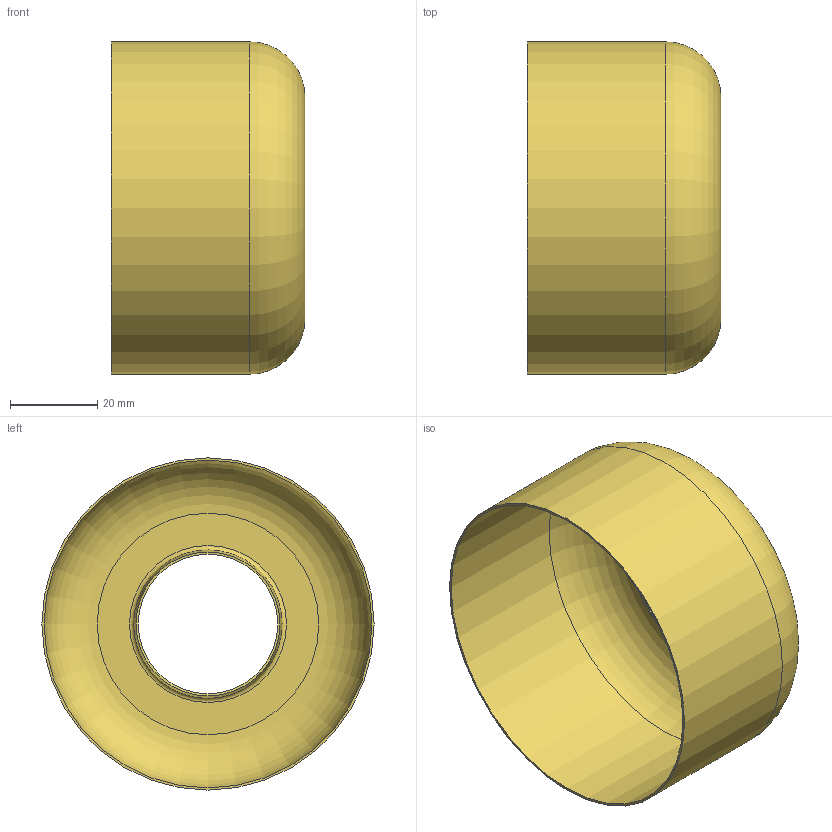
import cadquery as cq
import math

outer_radius = 38.1
length = 44.45
wall = 0.508
corner_radius = 12.7

hole_radius = 16.0
collar_bend_radius = 1.016
collar_taper = 5
bend_center_r = 18.0

inner_radius = outer_radius - wall
floor_x = length - wall
corner_center_x = length - corner_radius
corner_center_r = outer_radius - corner_radius
inner_corner_radius = corner_radius - wall

bend_center_x = floor_x - collar_bend_radius
outer_bend_radius = collar_bend_radius + wall
bend_end_angle = collar_taper - 90
bend_middle_angle = bend_end_angle / 2


def arc_point(center_x, center_r, radius, angle_deg):
    """Point (x, r) on a circle in the half-section plane."""
    angle = math.radians(angle_deg)
    return (center_x + radius * math.cos(angle), center_r + radius * math.sin(angle))


def corner_point(radius):
    """Middle of the rounded corner at the closed end."""
    return arc_point(corner_center_x, corner_center_r, radius, 45)


def bend_point(radius, angle_deg):
    """Point on the bend that leads into the collar."""
    return arc_point(bend_center_x, bend_center_r, radius, angle_deg)


def collar_tip(bend_end, collar_length):
    """Point at the free end of a collar surface that starts at bend_end."""
    taper = math.radians(collar_taper)
    return (
        bend_end[0] - collar_length * math.cos(taper),
        bend_end[1] - collar_length * math.sin(taper),
    )


def half_section():
    """Closed wall section, with the axis of revolution along X."""
    bore_bend_end = bend_point(outer_bend_radius, bend_end_angle)
    cup_bend_end = bend_point(collar_bend_radius, bend_end_angle)
    collar_length = (bore_bend_end[1] - hole_radius) / math.sin(math.radians(collar_taper))
    return (
        cq.Workplane("XY")
        .moveTo(0, outer_radius)
        .lineTo(corner_center_x, outer_radius)
        .threePointArc(corner_point(corner_radius), (length, corner_center_r))
        .lineTo(length, bend_center_r)
        .threePointArc(bend_point(outer_bend_radius, bend_middle_angle), bore_bend_end)
        .lineTo(*collar_tip(bore_bend_end, collar_length))
        .lineTo(*collar_tip(cup_bend_end, collar_length))
        .lineTo(*cup_bend_end)
        .threePointArc(bend_point(collar_bend_radius, bend_middle_angle), (floor_x, bend_center_r))
        .lineTo(floor_x, corner_center_r)
        .threePointArc(corner_point(inner_corner_radius), (corner_center_x, inner_radius))
        .lineTo(0, inner_radius)
        .close()
    )


result = half_section().revolve(360, (0, 0, 0), (1, 0, 0))